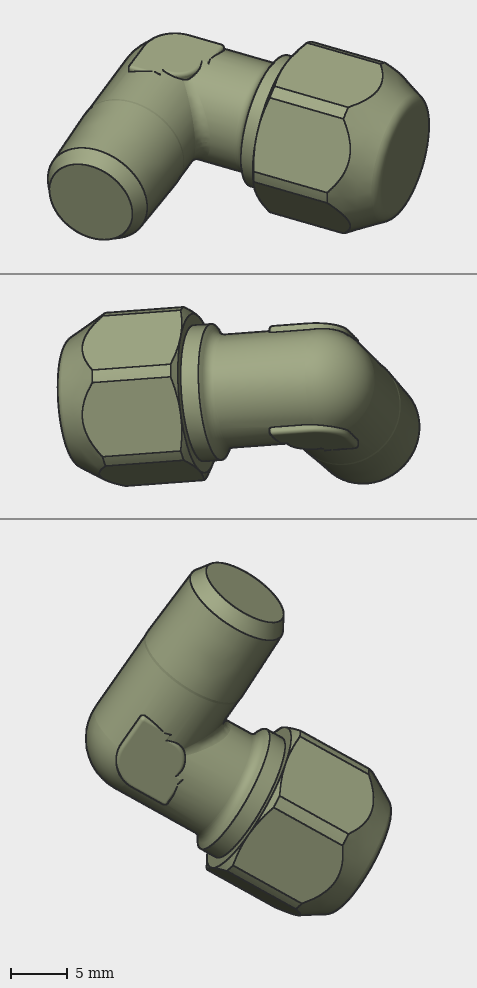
import cadquery as cq
import math

TUBE_DIAMETER = 10.0
TUBE_RADIUS = TUBE_DIAMETER / 2
CROTCH_FILLET = 1.0

LEG_END = 17.0
TAPER_START = 8.55
TAPER_LEAD = 0.25
TAPER_RADIUS = 5.05
TAPER_SLOPE = 1 / 32
TIP_CHAMFER_LENGTH = 1.38
TIP_RADIUS = 4.02

COLLAR_RADIUS = 6.0
COLLAR_START = 9.42
NECK_FILLET = 1.0
NECK_ANGLE = math.radians(60)

NUT_START = 11.02
NUT_END = 22.5
ACROSS_FLATS = 14.0
NUT_CORNER_RADIUS = 7.77
NUT_CONE_START = 18.6
NUT_CHAMFER_ANGLE = math.radians(30)
NUT_END_FILLET = 1.1

PAD_HEIGHT = TUBE_RADIUS
PAD_OUTER = 2.5
PAD_REACH = 4.0
PAD_OUTER_ARC = 3.0
PAD_STEP = 0.77
PAD_INNER = 3.33
PAD_INNER_ARC = 2.23
PAD_CORNER_ROUND = 0.35
PAD_EDGE_ROUND = 0.33


def revolve_about_x(points):
    """Solid of revolution about X from (x, radius) points."""
    profile = cq.Workplane("XY").polyline(points).close()
    return profile.revolve(360, (0, 0, 0), (1, 0, 0))


def make_elbow():
    arm = cq.Workplane("YZ").circle(TUBE_RADIUS).extrude(COLLAR_START)
    leg = cq.Workplane("XZ").circle(TUBE_RADIUS).extrude(TAPER_START - TAPER_LEAD)
    crotch = cq.selectors.BoxSelector((0.28, -0.28, -TUBE_RADIUS), (TUBE_RADIUS, -TUBE_RADIUS, TUBE_RADIUS))
    ball = cq.Workplane("XY").sphere(TUBE_RADIUS)
    return arm.union(leg).edges(crotch).fillet(CROTCH_FILLET).union(ball)


def make_tapered_end():
    chamfer_start = LEG_END - TIP_CHAMFER_LENGTH
    small_radius = TAPER_RADIUS - (chamfer_start - TAPER_START) * TAPER_SLOPE
    profile = cq.Workplane("XY").polyline([
        (0, TAPER_LEAD - TAPER_START),
        (TUBE_RADIUS, TAPER_LEAD - TAPER_START),
        (TAPER_RADIUS, -TAPER_START),
        (small_radius, -chamfer_start),
        (TIP_RADIUS, -LEG_END),
        (0, -LEG_END),
    ]).close()
    return profile.revolve(360, (0, 0, 0), (0, 1, 0))


def make_collar():
    """Collar with a sloped shoulder that blends into the arm by a tangent arc."""
    arc_length_x = NECK_FILLET * math.sin(NECK_ANGLE)
    arc_rise = NECK_FILLET * (1 - math.cos(NECK_ANGLE))
    slope_run = (COLLAR_RADIUS - TUBE_RADIUS - arc_rise) / math.tan(NECK_ANGLE)
    arc_end = COLLAR_START - slope_run
    arc_start = arc_end - arc_length_x
    mid = (
        arc_start + NECK_FILLET * math.sin(NECK_ANGLE / 2),
        TUBE_RADIUS + NECK_FILLET * (1 - math.cos(NECK_ANGLE / 2)),
    )
    profile = (
        cq.Workplane("XY")
        .moveTo(arc_start, 0)
        .lineTo(arc_start, TUBE_RADIUS)
        .threePointArc(mid, (arc_end, TUBE_RADIUS + arc_rise))
        .lineTo(COLLAR_START, COLLAR_RADIUS)
        .lineTo(NUT_START, COLLAR_RADIUS)
        .lineTo(NUT_START, 0)
        .close()
    )
    return profile.revolve(360, (0, 0, 0), (1, 0, 0))


def make_nut():
    """Hexagon with flats facing +Z and -Z, turned to a chamfered round envelope."""
    across_corners = ACROSS_FLATS / math.cos(math.pi / 6)
    hexagon = (
        cq.Workplane("YZ")
        .workplane(offset=NUT_START)
        .polygon(6, across_corners)
        .extrude(NUT_END - NUT_START)
    )
    start_radius = ACROSS_FLATS / 2
    start_chamfer = (NUT_CORNER_RADIUS - start_radius) * math.tan(NUT_CHAMFER_ANGLE)
    end_radius = NUT_CORNER_RADIUS - (NUT_END - NUT_CONE_START) * math.tan(NUT_CHAMFER_ANGLE)
    envelope = revolve_about_x([
        (NUT_START, 0),
        (NUT_START, start_radius),
        (NUT_START + start_chamfer, NUT_CORNER_RADIUS),
        (NUT_CONE_START, NUT_CORNER_RADIUS),
        (NUT_END, end_radius),
        (NUT_END, 0),
    ]).faces(">X").edges().fillet(NUT_END_FILLET)
    return hexagon.intersect(envelope)


def make_pad():
    """Flat pad rising from the middle of the elbow, level with the crest of the arms."""
    arc_end = PAD_OUTER_ARC - PAD_OUTER
    arc_mid = arc_end - PAD_OUTER_ARC * math.sqrt(0.5)
    inner_centre = PAD_INNER - PAD_INNER_ARC
    inner_mid = inner_centre + PAD_INNER_ARC * math.sqrt(0.5)
    pad = (
        cq.Workplane("XY")
        .moveTo(-PAD_OUTER, -arc_end)
        .threePointArc((arc_mid, -arc_mid), (arc_end, PAD_OUTER))
        .lineTo(PAD_REACH, PAD_OUTER)
        .lineTo(PAD_REACH, -PAD_STEP)
        .lineTo(PAD_INNER, -PAD_STEP)
        .lineTo(PAD_INNER, -inner_centre)
        .threePointArc((inner_mid, -inner_mid), (inner_centre, -PAD_INNER))
        .lineTo(PAD_STEP, -PAD_INNER)
        .lineTo(PAD_STEP, -PAD_REACH)
        .lineTo(-PAD_OUTER, -PAD_REACH)
        .close()
        .extrude(PAD_HEIGHT)
    )
    outer_corners = [(PAD_REACH, PAD_OUTER), (-PAD_OUTER, -PAD_REACH)]
    for x, y in outer_corners:
        corner = cq.selectors.NearestToPointSelector((x, y, PAD_HEIGHT / 2))
        pad = pad.edges("|Z").edges(corner).fillet(PAD_CORNER_ROUND)
    return pad.faces(">Z").edges().fillet(PAD_EDGE_ROUND)


top_pad = make_pad()
result = (
    make_elbow()
    .union(make_tapered_end())
    .union(make_collar())
    .union(make_nut())
    .union(top_pad)
    .union(top_pad.mirror("XY"))
)